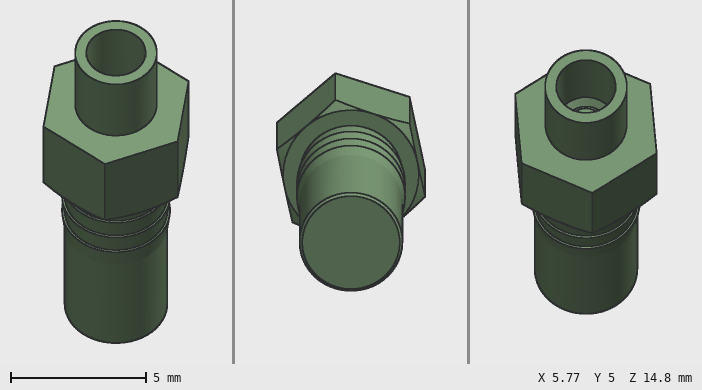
import cadquery as cq
import math

total_length = 14.81
tube_length = 3.0
hex_height = 3.5

hex_across_flats = 5.0
hex_across_corners = hex_across_flats / math.cos(math.radians(30))
hex_chamfer_angle = 30.0

shank_diameter = 3.8
shank_radius = shank_diameter / 2
shank_end_chamfer = 0.1

barb_count = 3
barb_radius = 2.0
barb_pitch = 0.86
barb_gap_below_hex = 1.02

tube_radius = 1.51
bore_radius = 1.1
bore_depth = tube_length
pin_base_radius = 0.8
pin_tip_radius = 0.64
floor_cone_depth = 0.18
pin_height = 0.16

hex_top = total_length - tube_length
hex_bottom = hex_top - hex_height


def make_shank():
    """Round shank with a small chamfer on its free end."""
    shank = cq.Workplane("XY").circle(shank_radius).extrude(hex_bottom)
    return shank.faces("<Z").chamfer(shank_end_chamfer)


def make_barb(top):
    """Ring with a flat upper face and a conical flank tapering down to the shank."""
    bottom = top - barb_pitch
    return (
        cq.Workplane("XZ")
        .moveTo(0, bottom)
        .lineTo(shank_radius, bottom)
        .lineTo(barb_radius, top)
        .lineTo(0, top)
        .close()
        .revolve(360, (0, 0), (0, 1))
    )


def make_hex_collar():
    """Hexagon with corners on the X axis and its lower corners turned off conically."""
    collar = (
        cq.Workplane("XY", origin=(0, 0, hex_bottom))
        .polygon(6, hex_across_corners)
        .extrude(hex_height)
    )
    inner_radius = hex_across_flats / 2
    outer_radius = hex_across_corners
    cone_rise = (outer_radius - inner_radius) * math.tan(math.radians(hex_chamfer_angle))
    envelope = (
        cq.Workplane("XZ")
        .moveTo(0, hex_bottom)
        .lineTo(inner_radius, hex_bottom)
        .lineTo(outer_radius, hex_bottom + cone_rise)
        .lineTo(outer_radius, hex_top)
        .lineTo(0, hex_top)
        .close()
        .revolve(360, (0, 0), (0, 1))
    )
    return collar.intersect(envelope)


def make_tube():
    """Plain round tube standing on the collar."""
    return cq.Workplane("XY", origin=(0, 0, hex_top)).circle(tube_radius).extrude(tube_length)


def make_bore():
    """Blind bore with a conical floor that leaves a short tapered pin in the middle."""
    cone_top = total_length - bore_depth
    groove_bottom = cone_top - floor_cone_depth
    pin_top = groove_bottom + pin_height
    return (
        cq.Workplane("XZ")
        .moveTo(0, pin_top)
        .lineTo(pin_tip_radius, pin_top)
        .lineTo(pin_base_radius, groove_bottom)
        .lineTo(bore_radius, cone_top)
        .lineTo(bore_radius, total_length)
        .lineTo(0, total_length)
        .close()
        .revolve(360, (0, 0), (0, 1))
    )


result = make_shank().union(make_hex_collar()).union(make_tube())
for index in range(barb_count):
    result = result.union(make_barb(hex_bottom - barb_gap_below_hex - index * barb_pitch))
result = result.cut(make_bore())